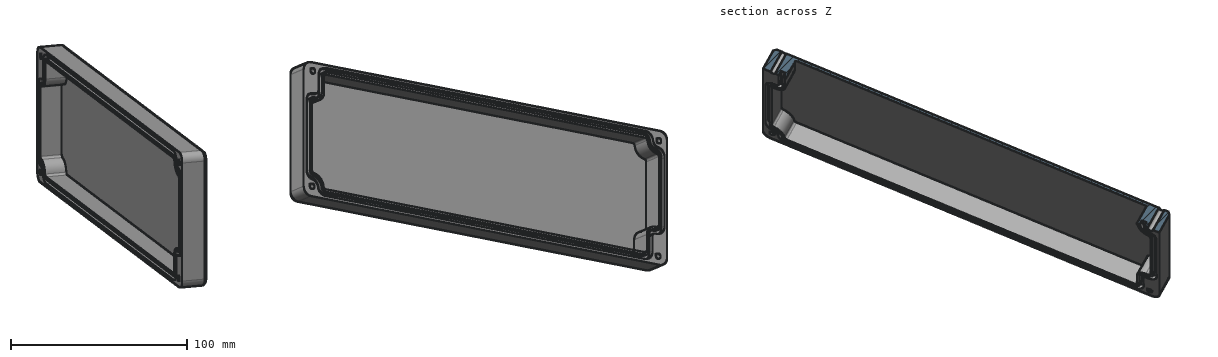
import cadquery as cq
import math

length = 250.0
depth = 15.0
height = 79.5
corner_radius = 5.0
back_chamfer = 1.5
floor_thickness = 2.3

rim_width = 1.8
groove_width = 2.5
groove_depth = 3.0
lip_width = 1.5
bend_radius = 5.5

square_boss_x = 10.0
square_boss_z = 18.0
square_boss_radius = 1.5
square_hole_x = 6.3
square_hole_z = 5.0

round_boss_radius = 4.0
round_hole_x = 5.8
round_hole_z = 6.0
hole_diameter = 3.3

half_length = length / 2
half_height = height / 2
front_y = -depth / 2


def arc_points(center, radius, start_angle, end_angle):
    """Start, middle and end of an arc, with angles in degrees."""
    angles = (start_angle, (start_angle + end_angle) / 2, end_angle)
    return [
        (
            center[0] + radius * math.cos(math.radians(a)),
            center[1] + radius * math.sin(math.radians(a)),
        )
        for a in angles
    ]


def square_boss_arcs(inset):
    """Clockwise arcs that lead round the upper-left boss."""
    left = -half_length
    bend = bend_radius - inset
    wall_bend = (left + rim_width + bend_radius, half_height - square_boss_z - bend_radius)
    boss_corner = (
        left + square_boss_x - square_boss_radius,
        half_height - square_boss_z + square_boss_radius,
    )
    top_bend = (left + square_boss_x + bend_radius, half_height - rim_width - bend_radius)
    return [
        arc_points(wall_bend, bend, 180, 90),
        arc_points(boss_corner, square_boss_radius + inset, -90, 0),
        arc_points(top_bend, bend, 180, 90),
    ]


def round_boss_arcs(inset):
    """Clockwise tangent arcs that lead round the upper-right boss."""
    bend = bend_radius - inset
    center_distance = round_boss_radius + bend_radius
    bend_from_wall = rim_width + bend_radius
    top_angle = math.degrees(math.asin((bend_from_wall - round_hole_z) / center_distance))
    side_angle = math.degrees(math.asin((bend_from_wall - round_hole_x) / center_distance))
    hole = (half_length - round_hole_x, half_height - round_hole_z)
    from_top = 180 + top_angle
    to_side = 270 - side_angle
    top_bend = arc_points(hole, center_distance, from_top, to_side)[0]
    side_bend = arc_points(hole, center_distance, from_top, to_side)[2]
    return [
        arc_points(top_bend, bend, 90, from_top - 180),
        arc_points(hole, round_boss_radius + inset, from_top, to_side),
        arc_points(side_bend, bend, to_side - 180, 0),
    ]


def inner_prism(inset, prism_depth):
    """Prism cut from the front, inset from the groove's outer edge."""
    half_turn = square_boss_arcs(inset) + round_boss_arcs(inset)
    opposite = [[(-x, -z) for x, z in arc] for arc in half_turn]
    arcs = half_turn + opposite
    outline = cq.Workplane("XZ", origin=(0, front_y, 0)).moveTo(*arcs[0][0])
    position = arcs[0][0]
    for start, middle, end in arcs:
        if math.dist(position, start) > 2.5e-06:
            outline = outline.lineTo(*start)
        outline = outline.threePointArc(middle, end)
        position = end
    return outline.close().extrude(-prism_depth)


body = cq.Workplane("XY").box(length, depth, height)
body = body.edges("|Y").fillet(corner_radius)
body = body.faces(">Y").edges().chamfer(back_chamfer)

cavity = inner_prism(groove_width + lip_width, depth - floor_thickness)
groove = inner_prism(0, groove_depth).cut(inner_prism(groove_width, groove_depth))
body = body.cut(cavity).cut(groove)

square_hole = (-half_length + square_hole_x, half_height - square_hole_z)
round_hole = (half_length - round_hole_x, half_height - round_hole_z)
hole_centers = [(side * x, side * z) for side in (1, -1) for x, z in (square_hole, round_hole)]
holes = (
    cq.Workplane("XZ", origin=(0, front_y, 0))
    .pushPoints(hole_centers)
    .circle(hole_diameter / 2)
    .extrude(-depth)
)

result = body.cut(holes)